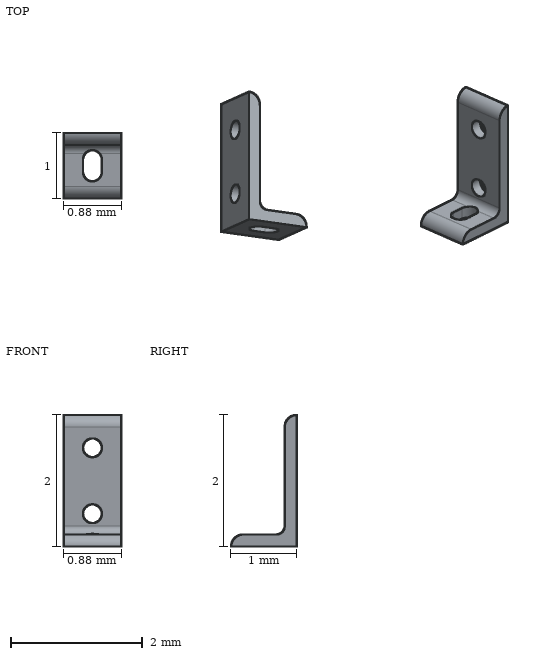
import cadquery as cq

width = 0.875
depth = 1.0
height = 2.0
thickness = 0.1875
inner_fillet = 0.125
hole_diameter = 0.28125
hole_heights = (height / 4, 3 * height / 4)
slot_length = 0.46875

back_y = depth / 2
toe_y = -depth / 2
wall_front_y = back_y - thickness


def bracket_body():
    """L-shaped section, extruded across the width and centred on X = 0."""
    corner_y = wall_front_y - inner_fillet
    corner_z = thickness + inner_fillet
    return (
        cq.Workplane("YZ")
        .moveTo(back_y, 0)
        .lineTo(back_y, height)
        .radiusArc((wall_front_y, height - thickness), -thickness)
        .lineTo(wall_front_y, corner_z)
        .radiusArc((corner_y, thickness), inner_fillet)
        .lineTo(toe_y + thickness, thickness)
        .radiusArc((toe_y, 0), -thickness)
        .close()
        .extrude(width / 2, both=True)
    )


def wall_hole(hole_z):
    """Round cutter along Y through the upright leg."""
    return (
        cq.Workplane("XZ", origin=(0, back_y, hole_z))
        .circle(hole_diameter / 2)
        .extrude(thickness)
    )


def foot_slot():
    """Slot cutter along Z through the foot, tall enough to clear the inside fillet."""
    return (
        cq.Workplane("XY")
        .slot2D(slot_length, hole_diameter, 90)
        .extrude(thickness + inner_fillet)
    )


result = bracket_body()
for z in hole_heights:
    result = result.cut(wall_hole(z))
result = result.cut(foot_slot())